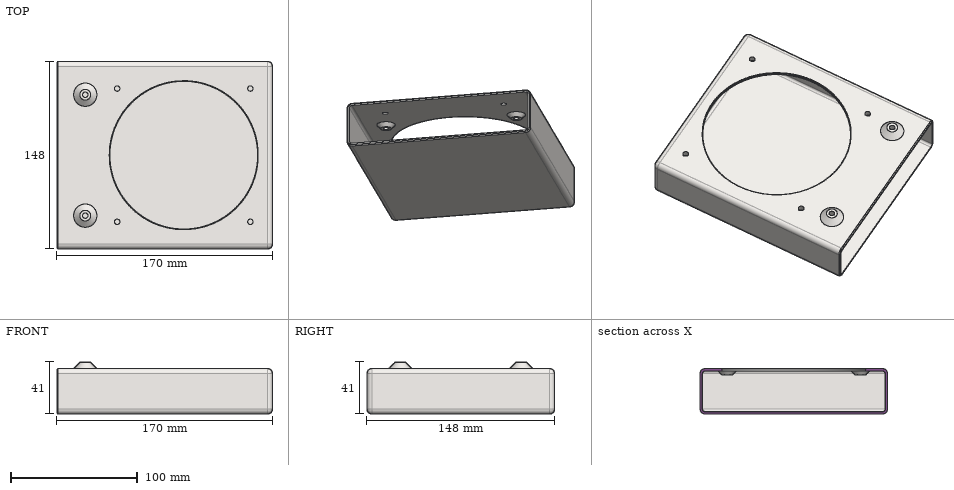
import cadquery as cq

length = 170.0
width = 148.0
box_height = 36.0
total_height = 41.0
wall = 2.0
outer_radius = 4.0
inner_radius = outer_radius - wall
rim_chamfer = 0.8

fan_x = 100.0
fan_opening_diameter = 116.6
fan_edge_chamfer = 0.5
screw_spacing = 105.0
screw_hole_diameter = 4.2
screw_boss_tip_diameter = 8.5
screw_boss_drop = 3.0

cone_x = 22.3
cone_spacing = 95.4
cone_tip_diameter = 8.5
cone_hole_diameter = 4.2
cone_height = total_height - box_height

ceiling_z = box_height - wall


def rounded_box(x_start, x_end, y_size, z_start, z_end, radius, rounded_edges):
    """Box spanning the given X and Z ranges, centred on Y, with the selected edges rounded."""
    box = cq.Workplane("XY").box(
        x_end - x_start, y_size, z_end - z_start, centered=(False, True, False)
    )
    box = box.edges(rounded_edges).fillet(radius)
    return box.translate((x_start, 0, z_start))


def wall_cone(x, y, base_z, height, tip_diameter, direction):
    """45 degree cone on the wall face at base_z; direction is 1 for up, -1 for down."""
    tip_radius = tip_diameter / 2
    base_center = cq.Vector(x, y, base_z)
    axis = cq.Vector(0, 0, direction)
    return cq.Workplane(
        cq.Solid.makeCone(tip_radius + height, tip_radius, height, base_center, axis)
    )


def through_top_wall(points, diameter):
    """Cylinders that cut through the top wall and all bosses on it."""
    start_z = ceiling_z - screw_boss_drop
    return (
        cq.Workplane("XY", origin=(0, 0, start_z))
        .pushPoints(points)
        .circle(diameter / 2)
        .extrude(total_height - start_z)
    )


screw_points = [
    (fan_x + x_side * screw_spacing / 2, y_side * screw_spacing / 2)
    for x_side in (-1, 1)
    for y_side in (-1, 1)
]
cone_points = [(cone_x, y_side * cone_spacing / 2) for y_side in (-1, 1)]

housing = rounded_box(0, length, width, 0, box_height, outer_radius, "not <X")
housing = housing.faces("<X").edges().chamfer(rim_chamfer)

cavity = rounded_box(
    0, length - wall, width - 2 * wall, wall, ceiling_z, inner_radius, "|X or (|Y and >X)"
)
result = housing.cut(cavity)

for x, y in cone_points:
    result = result.union(wall_cone(x, y, box_height, cone_height, cone_tip_diameter, 1))
for x, y in screw_points:
    result = result.union(wall_cone(x, y, ceiling_z, screw_boss_drop, screw_boss_tip_diameter, -1))

result = result.cut(through_top_wall([(fan_x, 0)], fan_opening_diameter))
result = result.cut(
    wall_cone(fan_x, 0, box_height, fan_edge_chamfer, fan_opening_diameter, -1)
)
result = result.cut(through_top_wall(screw_points, screw_hole_diameter))
result = result.cut(through_top_wall(cone_points, cone_hole_diameter))